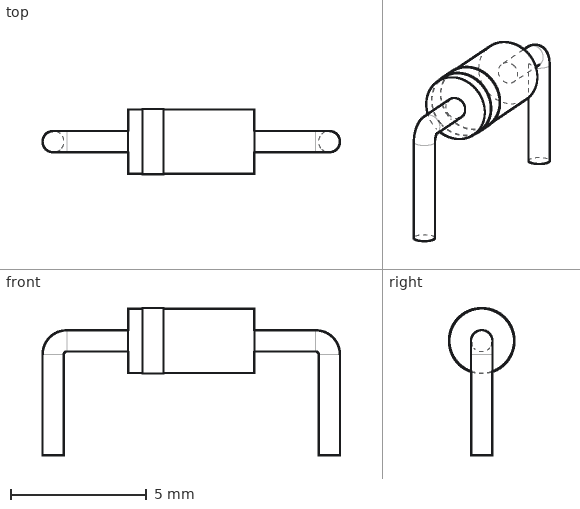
import cadquery as cq

overall_length = 10.95
overall_height = 5.42

body_diameter = 2.38
body_length = 4.65
band_diameter = 2.42
band_width = 0.79
band_inset = 0.53

lead_diameter = 0.79
bend_radius = 0.5

axis_height = overall_height - band_diameter / 2
leg_x = (overall_length - lead_diameter) / 2
bend_start_x = leg_x - bend_radius
bend_end_z = axis_height - bend_radius
body_start_x = -body_length / 2


def cylinder_along_x(start_x, length, diameter):
    """Solid cylinder on the body axis, running toward +X."""
    plane = cq.Workplane("YZ", origin=(start_x, 0, axis_height))
    return plane.circle(diameter / 2).extrude(length)


def bent_lead(side):
    """Leg and bend of one lead; side is -1 for the -X end, +1 for the +X end."""
    leg = (
        cq.Workplane("XY", origin=(side * leg_x, 0, 0))
        .circle(lead_diameter / 2)
        .extrude(bend_end_z)
    )
    bend = (
        cq.Workplane("XY", origin=(side * leg_x, 0, bend_end_z))
        .circle(lead_diameter / 2)
        .revolve(90, (-side * bend_radius, 0), (-side * bend_radius, -side))
    )
    return leg.union(bend)


body = cylinder_along_x(body_start_x, body_length, body_diameter)
band = cylinder_along_x(body_start_x + band_inset, band_width, band_diameter)
straight_wire = cylinder_along_x(-bend_start_x, 2 * bend_start_x, lead_diameter)

result = body.union(band).union(straight_wire)
for side in (-1, 1):
    result = result.union(bent_lead(side))